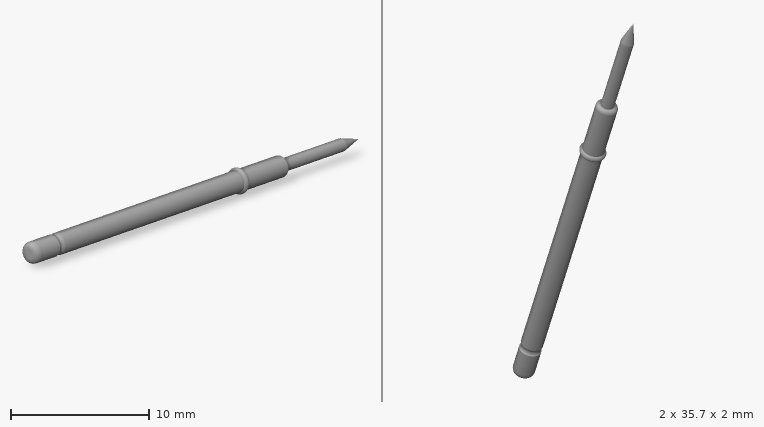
import cadquery as cq
import math

total_length = 35.7
tip_y = 13.05
tail_y = tip_y - total_length

plunger_radius = 0.5
cone_length = 1.85
plunger_length = 8.3
cone_base_y = tip_y - cone_length
mouth_y = tip_y - plunger_length

barrel_radius = 0.83
mouth_fillet = 0.3
tail_fillet = 0.43

ring_radius = 1.0
bead_radius = 0.25

groove_to_tail = 2.5
groove_depth = 0.15
groove_arc_radius = 0.4
groove_floor_radius = barrel_radius - groove_depth
groove_arc_length = math.sqrt(groove_arc_radius**2 - (groove_arc_radius - groove_depth) ** 2)
groove_tail_y = tail_y + groove_to_tail
groove_floor_y = groove_tail_y + groove_arc_length
groove_mouth_y = groove_floor_y + groove_arc_length


def arc_offset(radius):
    """Distance from the corner of a quarter round to its middle, along each side."""
    return radius * (1 - math.sqrt(0.5))


def add_tail(outline):
    """Flat end face and rounded tail corner."""
    inset = arc_offset(tail_fillet)
    return outline.lineTo(tail_y, barrel_radius - tail_fillet).threePointArc(
        (tail_y + inset, barrel_radius - inset),
        (tail_y + tail_fillet, barrel_radius),
    )


def add_groove(outline):
    """Hollow arc down to the groove floor, then convex arc back up to the barrel."""
    return (
        outline.lineTo(groove_tail_y, barrel_radius)
        .radiusArc((groove_floor_y, groove_floor_radius), -groove_arc_radius)
        .radiusArc((groove_mouth_y, barrel_radius), groove_arc_radius)
    )


def add_press_ring(outline):
    """Bead of circular section, its centre sunk below the barrel surface."""
    bead_centre_radius = ring_radius - bead_radius
    bead_edge_y = math.sqrt(bead_radius**2 - (barrel_radius - bead_centre_radius) ** 2)
    return outline.lineTo(-bead_edge_y, barrel_radius).threePointArc(
        (0, ring_radius),
        (bead_edge_y, barrel_radius),
    )


def add_mouth(outline):
    """Rounded mouth corner and the annular face around the plunger."""
    inset = arc_offset(mouth_fillet)
    return (
        outline.lineTo(mouth_y - mouth_fillet, barrel_radius)
        .threePointArc(
            (mouth_y - inset, barrel_radius - inset),
            (mouth_y, barrel_radius - mouth_fillet),
        )
        .lineTo(mouth_y, plunger_radius)
    )


def add_plunger(outline):
    """Plunger shaft and conical point."""
    return outline.lineTo(cone_base_y, plunger_radius).lineTo(tip_y, 0)


half_outline = cq.Workplane("YZ").moveTo(tail_y, 0)
for add_section in (add_tail, add_groove, add_press_ring, add_mouth, add_plunger):
    half_outline = add_section(half_outline)

result = half_outline.close().revolve(360, (0, 0, 0), (1, 0, 0))